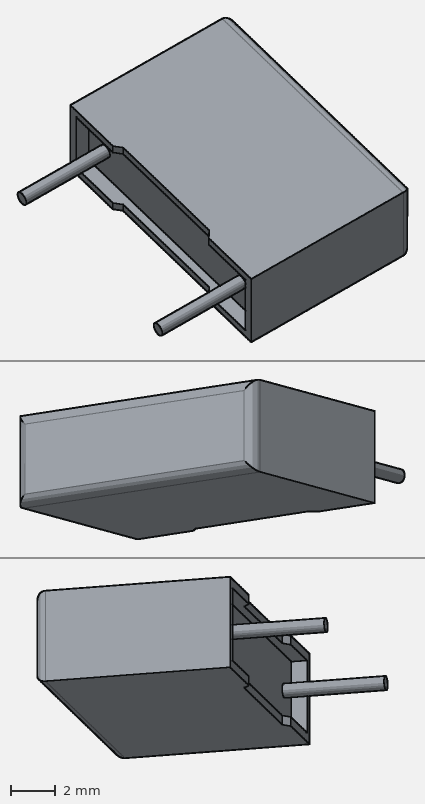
import cadquery as cq

case_width = 13.3
case_height = 4.22
overall_length = 13.1
lead_reach = 4.0
case_length = overall_length - lead_reach

wall = 0.43
back_edge_radius = 0.5
notch_depth = 0.3
notch_floor_width = 6.33
notch_mouth_width = 7.02

potting_recess = 0.73
lead_diameter = 0.65
lead_pitch = 10.0

cavity_width = case_width - 2 * wall
cavity_height = case_height - 2 * wall
cavity_length = case_length - wall


def block(width, length, height, start_y):
    """Box centred in X and Z that starts at start_y and runs toward +Y."""
    return (
        cq.Workplane("XY")
        .box(width, length, height, centered=(True, False, True))
        .translate((0, start_y, 0))
    )


def make_rim_notch():
    """Trapezoid cutter that lowers the middle of both long rim walls."""
    return (
        cq.Workplane("XY")
        .workplane(offset=-case_height / 2)
        .moveTo(-notch_mouth_width / 2, 0)
        .lineTo(-notch_floor_width / 2, notch_depth)
        .lineTo(notch_floor_width / 2, notch_depth)
        .lineTo(notch_mouth_width / 2, 0)
        .close()
        .extrude(case_height)
    )


def make_case():
    """Open box with rounded back edges and a notched rim."""
    shell = block(case_width, case_length, case_height, 0)
    shell = shell.faces(">Y").edges().fillet(back_edge_radius)
    cavity = block(cavity_width, cavity_length, cavity_height, 0)
    return shell.cut(cavity).cut(make_rim_notch())


def make_potting():
    """Block that fills the cavity behind the recessed potting face."""
    return block(cavity_width, cavity_length - potting_recess, cavity_height, potting_recess)


def make_lead(x):
    """Round lead that stands on the potting face."""
    return (
        cq.Workplane("XZ", origin=(x, potting_recess, 0))
        .circle(lead_diameter / 2)
        .extrude(lead_reach + potting_recess)
    )


case = make_case()
potting = make_potting()
leads = [make_lead(side * lead_pitch / 2) for side in (-1, 1)]

result = cq.Compound.makeCompound([case.val(), potting.val(), *[lead.val() for lead in leads]])